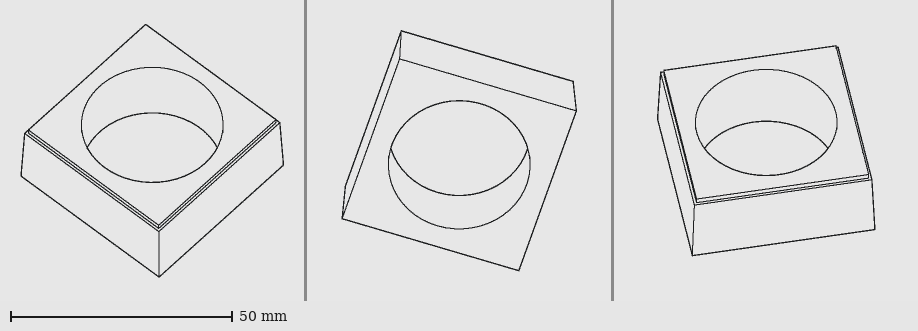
import cadquery as cq

base_side = 42.0
total_height = 17.7

wall_lean = 0.6

ledge_width = 0.65
step_height = 1.2

bore_diameter = 32.0

body_height = total_height - step_height
body_top_side = base_side - 2 * wall_lean
step_side = body_top_side - 2 * ledge_width

body = (
    cq.Workplane("XY")
    .rect(base_side, base_side)
    .workplane(offset=body_height)
    .rect(body_top_side, body_top_side)
    .loft(ruled=True)
)

step = (
    cq.Workplane("XY")
    .workplane(offset=body_height)
    .rect(step_side, step_side)
    .extrude(step_height)
)

bore = cq.Workplane("XY").circle(bore_diameter / 2).extrude(total_height)

result = body.union(step).cut(bore)